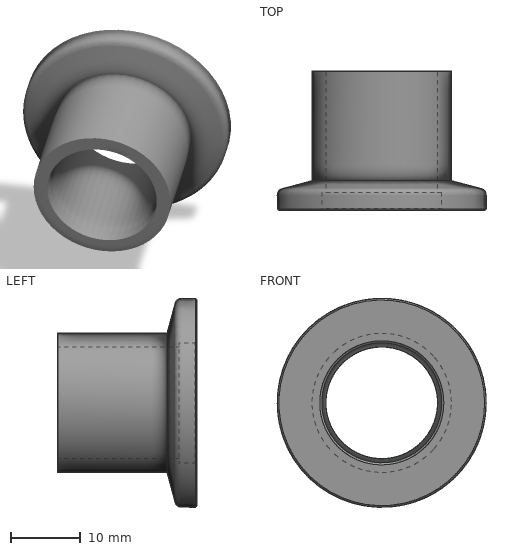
import cadquery as cq
import math

length = 20.0
flange_radius = 15.0
tube_radius = flange_radius * 2 / 3
bore_radius = 8.0

cone_end = 4.3
cone_angle = math.radians(15)
rim_end = cone_end - (flange_radius - tube_radius) * math.tan(cone_angle)
rim_fillet = 1.0
edge_chamfer = 0.25
margin = 0.15

recess_radius = 8.6
recess_depth = 2.6
recess_chamfer = 0.3


def flange_body():
    """Solid flange and tube, with the rounded rim and chamfered face edge."""
    half_profile = [
        (0, 0),
        (flange_radius, 0),
        (flange_radius, rim_end),
        (tube_radius, cone_end),
        (tube_radius, length),
        (0, length),
    ]
    body = cq.Workplane("XY").polyline(half_profile).close().revolve(360, (0, 0), (0, 1))
    reach = flange_radius + margin
    rim_corner = cq.selectors.BoxSelector(
        (-reach, rim_end - margin, -reach),
        (reach, rim_end + margin, reach),
    )
    body = body.edges(rim_corner).fillet(rim_fillet)
    return body.faces("<Y").edges().chamfer(edge_chamfer)


def bore_cutter():
    """Through bore with the stepped, chamfered recess at the sealing face."""
    half_profile = [
        (0, 0),
        (recess_radius + recess_chamfer, 0),
        (recess_radius, recess_chamfer),
        (recess_radius, recess_depth),
        (bore_radius, recess_depth),
        (bore_radius, length),
        (0, length),
    ]
    return cq.Workplane("XY").polyline(half_profile).close().revolve(360, (0, 0), (0, 1))


result = flange_body().cut(bore_cutter())